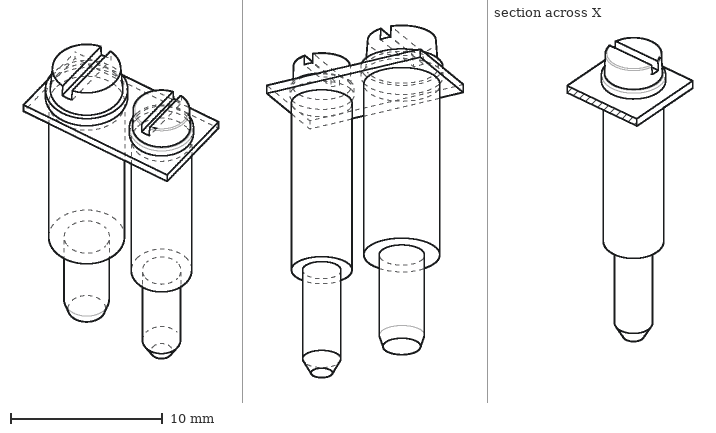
import cadquery as cq

plate_length = 11.5
plate_width = 6.0
plate_thickness = 0.6
plate_top = 20.42
plate_bottom = plate_top - plate_thickness

screw_y = plate_width / 2
wide_screw_x = 3.0
narrow_screw_x = 9.0

wide_top = 23.05
wide_head_height = 1.95
wide_head_base_radius = 2.4
wide_head_top_radius = 2.25
wide_collar_radius = 2.72
wide_slot_width = 0.75
wide_slot_depth = 0.83
wide_collar_top = wide_top - wide_head_height

narrow_top = 22.64
narrow_head_height = 1.6
narrow_head_base_radius = 1.91
narrow_head_top_radius = 1.87
narrow_collar_radius = 2.12
narrow_slot_width = 0.62
narrow_slot_depth = 0.71
narrow_collar_top = narrow_top - narrow_head_height
narrow_head_rim_radius = 0.1
narrow_collar_rim_radius = 0.14


def cylinder(radius, bottom, top):
    """Upright cylinder on the Z axis."""
    return cq.Workplane("XY").workplane(offset=bottom).circle(radius).extrude(top - bottom)


def cone(bottom_radius, top_radius, bottom, top):
    """Upright truncated cone on the Z axis."""
    base = cq.Workplane("XY").workplane(offset=bottom).circle(bottom_radius)
    return base.workplane(offset=top - bottom).circle(top_radius).loft()


def pin(barrel_radius, barrel_bottom, pin_radius, taper_start, tip_radius, tip_bottom):
    """Barrel under the plate, with a thinner pin ending in a tapered tip."""
    barrel = cylinder(barrel_radius, barrel_bottom, plate_bottom)
    shank = cylinder(pin_radius, taper_start, barrel_bottom)
    tip = cone(tip_radius, pin_radius, tip_bottom, taper_start)
    return barrel.union(shank).union(tip)


def cut_slot(head, top, width, depth):
    """Cut a driver slot along Y across the whole head."""
    slot = cq.Workplane("XY").box(width, plate_width, depth, centered=(True, True, False))
    return head.cut(slot.translate((0, 0, top - depth)))


def wide_screw():
    head = cone(wide_head_base_radius, wide_head_top_radius, wide_collar_top, wide_top)
    head = cut_slot(head, wide_top, wide_slot_width, wide_slot_depth)
    collar = cylinder(wide_collar_radius, plate_top, wide_collar_top)
    lower = pin(
        barrel_radius=2.51,
        barrel_bottom=7.28,
        pin_radius=1.5,
        taper_start=1.38,
        tip_radius=1.25,
        tip_bottom=0.55,
    )
    return head.union(collar), lower


def narrow_screw():
    head = cone(narrow_head_base_radius, narrow_head_top_radius, narrow_collar_top, narrow_top)
    head = head.faces(">Z").edges().fillet(narrow_head_rim_radius)
    head = cut_slot(head, narrow_top, narrow_slot_width, narrow_slot_depth)
    collar = cylinder(narrow_collar_radius, plate_top, narrow_collar_top)
    collar = collar.faces(">Z").edges().fillet(narrow_collar_rim_radius)
    lower = pin(
        barrel_radius=2.0,
        barrel_bottom=7.55,
        pin_radius=1.27,
        taper_start=1.04,
        tip_radius=0.71,
        tip_bottom=0.0,
    )
    return head.union(collar), lower


plate = cq.Workplane("XY").box(plate_length, plate_width, plate_thickness, centered=False)
result = plate.translate((0, 0, plate_bottom))

for screw_x, screw_parts in ((wide_screw_x, wide_screw()), (narrow_screw_x, narrow_screw())):
    for screw_part in screw_parts:
        result = result.union(screw_part.translate((screw_x, screw_y, 0)))